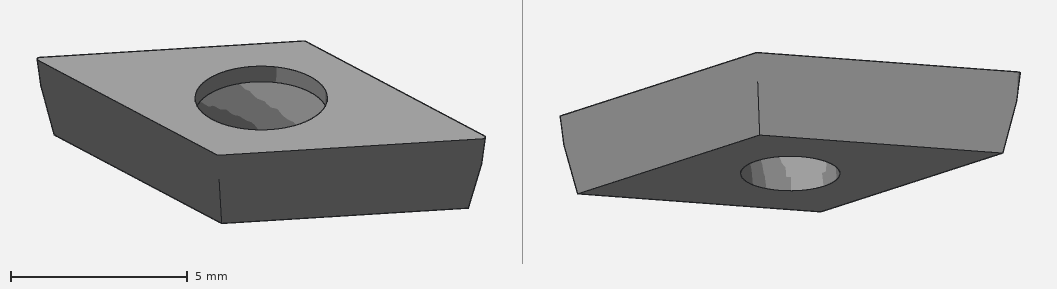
import cadquery as cq
import math

length = 12.01
width = 6.35
thickness = 2.38
acute_angle = math.radians(55)
relief_angle = 7.0

recess_radius = 1.87
recess_depth = 0.5
bore_radius = 1.4
seat_end_depth = 1.97

half_width = width / 2
acute_x = half_width / math.tan(acute_angle / 2)
obtuse_x = half_width * math.tan(acute_angle / 2)
corner_radius = (acute_x - length / 2) / (1 / math.tan(acute_angle / 2) - 1)
tip_radius = 0.01 * corner_radius
rounding_depth = (corner_radius - tip_radius) / math.tan(math.radians(relief_angle))


def make_body():
    corners = [
        (-acute_x, -half_width),
        (obtuse_x, -half_width),
        (acute_x, half_width),
        (-obtuse_x, half_width),
    ]
    return cq.Workplane("XY").polyline(corners).close().extrude(-thickness, taper=relief_angle)


def corner_waste(corner_x, side, included_angle):
    """Material outside the conical rounding at one corner on the +Y (side=1) or -Y edge."""
    setback = corner_radius / math.tan(included_angle / 2)
    inward = -math.copysign(1, corner_x)
    corner = (corner_x, side * half_width)
    straight_tangent = (corner_x + inward * setback, corner[1])
    slanted_tangent = (
        corner_x - side * setback * math.cos(acute_angle),
        corner[1] - side * setback * math.sin(acute_angle),
    )
    center = (straight_tangent[0], corner[1] - side * corner_radius)
    outline = [center, straight_tangent, corner, slanted_tangent]
    prism = cq.Workplane("XY").polyline(outline).close().extrude(-rounding_depth)
    cone = cq.Solid.makeCone(
        corner_radius, tip_radius, rounding_depth, cq.Vector(*center, 0), cq.Vector(0, 0, -1)
    )
    return prism.cut(cq.Workplane(obj=cone))


def make_screw_hole():
    seat_height = seat_end_depth - recess_depth
    seat_inset = recess_radius - bore_radius
    seat_arc_radius = (seat_height**2 + seat_inset**2) / (2 * seat_inset)
    half_sweep = math.asin(seat_height / seat_arc_radius) / 2
    seat_middle = (
        bore_radius + seat_arc_radius * (1 - math.cos(half_sweep)),
        -seat_end_depth + seat_arc_radius * math.sin(half_sweep),
    )
    return (
        cq.Workplane("XZ")
        .lineTo(recess_radius, 0)
        .lineTo(recess_radius, -recess_depth)
        .threePointArc(seat_middle, (bore_radius, -seat_end_depth))
        .lineTo(bore_radius, -thickness)
        .lineTo(0, -thickness)
        .close()
        .revolve(360, (0, 0), (0, 1))
    )


result = make_body()
for side in (-1, 1):
    result = result.cut(corner_waste(side * acute_x, side, acute_angle))
    result = result.cut(corner_waste(-side * obtuse_x, side, math.pi - acute_angle))
result = result.cut(make_screw_hole())